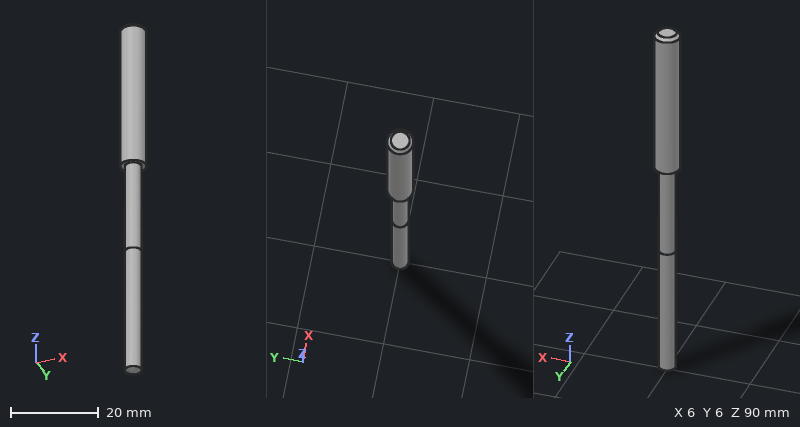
import cadquery as cq
import math

total_length = 90.0
shank_length = 36.0
cutting_length = 31.75

shank_diameter = 6.0
point_diameter = 3.95
joint_diameter = 3.91
neck_top_diameter = 3.87

shank_chamfer = 0.86
point_angle = 140.0

shank_bottom = total_length - shank_length
point_radius = point_diameter / 2
joint_radius = joint_diameter / 2
neck_top_radius = neck_top_diameter / 2
shank_radius = shank_diameter / 2
point_height = point_radius / math.tan(math.radians(point_angle / 2))


def make_holder():
    """Cylindrical shank, chamfered at the top, on a slightly tapered neck."""
    return (
        cq.Workplane("XZ")
        .moveTo(0, cutting_length)
        .lineTo(joint_radius, cutting_length)
        .lineTo(neck_top_radius, shank_bottom)
        .lineTo(shank_radius, shank_bottom)
        .lineTo(shank_radius, total_length - shank_chamfer)
        .lineTo(shank_radius - shank_chamfer, total_length)
        .lineTo(0, total_length)
        .close()
        .revolve(360, (0, 0, 0), (0, 1, 0))
    )


def make_cutting_part():
    """Back-tapered cutting length that ends in a conical point."""
    return (
        cq.Workplane("XZ")
        .moveTo(0, 0)
        .lineTo(point_radius, point_height)
        .lineTo(joint_radius, cutting_length)
        .lineTo(0, cutting_length)
        .close()
        .revolve(360, (0, 0, 0), (0, 1, 0))
    )


holder = make_holder()
cutting_part = make_cutting_part()

result = cq.Compound.makeCompound([holder.val(), cutting_part.val()])